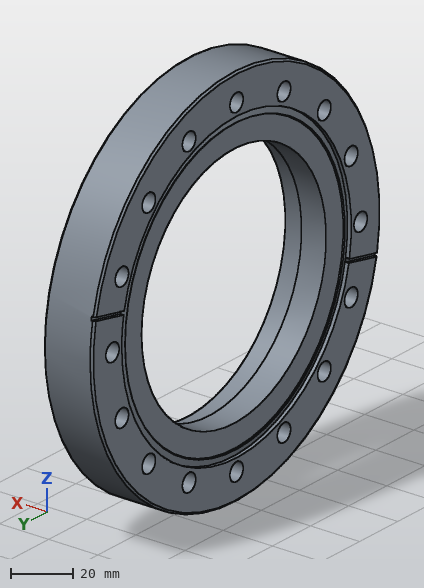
import cadquery as cq
import math

outer_radius = 75.8
thickness = 19.9
rim_chamfer = 0.8
x_front = -thickness / 2
x_back = thickness / 2

recess_radius = 60.2
knife_radius = 57.6
knife_root_radius = 57.3
knife_tip_depth = 0.6
knife_slope = math.radians(20)
inner_face_depth = 1.0
recess_depth = knife_tip_depth + (recess_radius - knife_radius) * math.tan(knife_slope)

bore_radius = 48.4
socket_radius = 51.1
socket_depth = 8.8

bolt_count = 16
bolt_circle_radius = 65.0
bolt_hole_diameter = 7.0

groove_width = 1.4
groove_depth = 1.4
groove_angle = 11.25
groove_overlap = 0.2
groove_inner_radius = recess_radius - groove_overlap


def flange_body():
    """Revolve the flange section, drawn as (x, radius), about the X axis."""
    section = [
        (x_front, recess_radius),
        (x_front, outer_radius - rim_chamfer),
        (x_front + rim_chamfer, outer_radius),
        (x_back - rim_chamfer, outer_radius),
        (x_back, outer_radius - rim_chamfer),
        (x_back, socket_radius),
        (x_back - socket_depth, socket_radius),
        (x_back - socket_depth, bore_radius),
        (x_front + inner_face_depth, bore_radius),
        (x_front + inner_face_depth, knife_root_radius),
        (x_front + knife_tip_depth, knife_radius),
        (x_front + recess_depth, recess_radius),
    ]
    return cq.Workplane("XY").polyline(section).close().revolve(360, (0, 0, 0), (1, 0, 0))


def bolt_holes():
    """Through-hole cutters evenly spaced on the bolt circle, one of them at the top."""
    return (
        cq.Workplane("YZ", origin=(x_front, 0, 0))
        .polarArray(bolt_circle_radius, 0, 360, bolt_count)
        .circle(bolt_hole_diameter / 2)
        .extrude(thickness)
    )


def leak_groove(angle):
    """Radial groove cutter from the recess out through the rim, turned about X from +Y."""
    length = outer_radius - groove_inner_radius
    return (
        cq.Workplane("XY")
        .box(groove_depth, length, groove_width, centered=(False, False, True))
        .translate((x_front, groove_inner_radius, 0))
        .rotate((0, 0, 0), (1, 0, 0), angle)
    )


result = flange_body().cut(bolt_holes())
for angle in (groove_angle, groove_angle + 180):
    result = result.cut(leak_groove(angle))